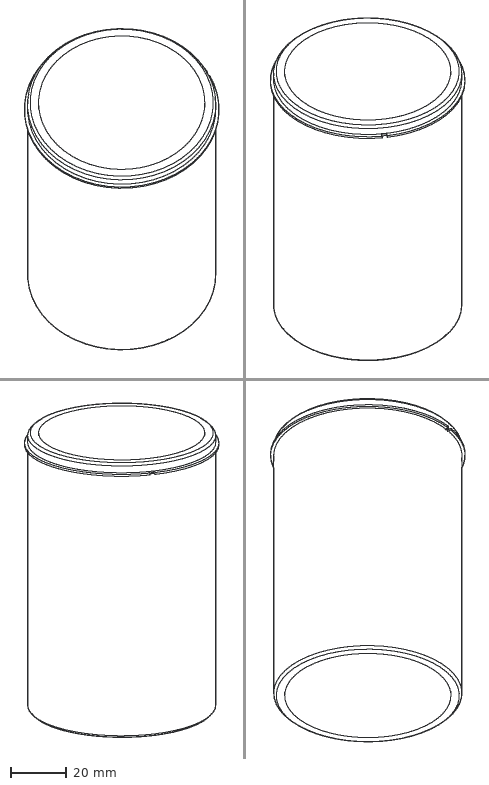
import cadquery as cq

sleeve_height = 105.0
sleeve_diameter = 68.0
bore_diameter = 60.1
end_chamfer = 0.9

ring_diameter = 70.4
ring_thickness = 0.7
ring_gap = 1.8
groove_depth = 1.0
groove_width = 0.9
groove_top_depth = 3.6

groove_diameter = sleeve_diameter - 2 * groove_depth
groove_bottom = sleeve_height - groove_top_depth - groove_width


def make_annulus(outer_diameter, inner_diameter, bottom, height):
    """Flat-ended ring around the Z axis, with its lower face at bottom."""
    return (
        cq.Workplane("XY", origin=(0, 0, bottom))
        .circle(outer_diameter / 2)
        .circle(inner_diameter / 2)
        .extrude(height)
    )


def make_sleeve():
    """Tube with chamfered outer rims and a groove for the ring."""
    blank = (
        cq.Workplane("XY")
        .circle(sleeve_diameter / 2)
        .extrude(sleeve_height)
        .faces("<Z or >Z")
        .edges()
        .chamfer(end_chamfer)
    )
    bore = cq.Workplane("XY").circle(bore_diameter / 2).extrude(sleeve_height)
    groove = make_annulus(ring_diameter, groove_diameter, groove_bottom, groove_width)
    return blank.cut(bore).cut(groove)


def make_retaining_ring():
    """Ring on the lower wall of the groove, opened by a parallel-sided gap."""
    ring = make_annulus(ring_diameter, groove_diameter, groove_bottom, ring_thickness)
    gap = (
        cq.Workplane("XY", origin=(0, 0, groove_bottom))
        .rect(ring_gap, ring_diameter)
        .extrude(ring_thickness)
        .translate((0, ring_diameter / 2, 0))
    )
    return ring.cut(gap)


sleeve = make_sleeve()
retaining_ring = make_retaining_ring()

result = cq.Compound.makeCompound([sleeve.val(), retaining_ring.val()])